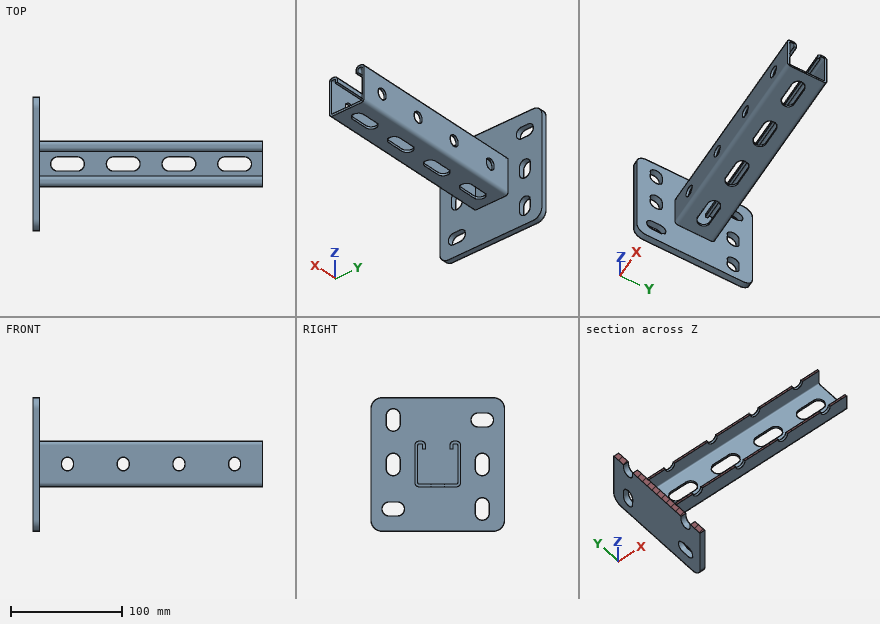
import cadquery as cq

TOTAL_LENGTH = 206.0
PLATE_SIZE = 120.0
PLATE_THICKNESS = 6.0
PLATE_CORNER_RADIUS = 10.0
PLATE_SLOT_LENGTH = 20.0
PLATE_SLOT_WIDTH = 12.4
PLATE_SLOT_OFFSET = 40.0

RAIL_RISE = 0.5
RAIL_SIZE = 41.0
RAIL_LENGTH = TOTAL_LENGTH - PLATE_THICKNESS
WALL = 2.5
BEND_RADIUS = 3.7
INNER_BEND_RADIUS = BEND_RADIUS - WALL
LIP_WIDTH = 9.5
LIP_DEPTH = 7.0

HOLE_COUNT = 4
HOLE_PITCH = RAIL_LENGTH / HOLE_COUNT
BASE_SLOT_LENGTH = 30.0
BASE_SLOT_WIDTH = 12.5
SIDE_SLOT_HEIGHT = 12.0
SIDE_SLOT_WIDTH = 10.5

VERTICAL = 90


def make_plate():
    """Square plate with rounded corners and six fixing slots."""
    plate = (
        cq.Workplane("YZ")
        .rect(PLATE_SIZE, PLATE_SIZE)
        .extrude(PLATE_THICKNESS)
        .edges("|X")
        .fillet(PLATE_CORNER_RADIUS)
    )
    for side in (-1, 1):
        for level in (-1, 0, 1):
            angle = 0 if side == level else VERTICAL
            slot = (
                cq.Workplane("YZ")
                .center(side * PLATE_SLOT_OFFSET, level * PLATE_SLOT_OFFSET)
                .slot2D(PLATE_SLOT_LENGTH, PLATE_SLOT_WIDTH, angle)
                .extrude(PLATE_THICKNESS)
            )
            plate = plate.cut(slot)
    return plate


def make_channel():
    """C section with two lips turned down into the channel, bent at constant wall thickness."""
    half = RAIL_SIZE / 2
    inner = half - WALL
    mouth = half - LIP_WIDTH
    lip_back = mouth + WALL
    lip_end = half - LIP_DEPTH

    right_side = [
        (half, -half),
        (half, half),
        (mouth, half),
        (mouth, lip_end),
        (lip_back, lip_end),
        (lip_back, inner),
        (inner, inner),
        (inner, -inner),
    ]
    left_side = [(-y, z) for y, z in reversed(right_side)]
    channel = (
        cq.Workplane("YZ", origin=(PLATE_THICKNESS, 0, 0))
        .polyline(right_side + left_side)
        .close()
        .extrude(RAIL_LENGTH)
    )

    middle = PLATE_THICKNESS + RAIL_LENGTH / 2
    outer_bends = [(half, -half), (half, half), (mouth, half)]
    inner_bends = [(inner, -inner), (inner, inner), (lip_back, inner)]
    for bends, radius in ((outer_bends, BEND_RADIUS), (inner_bends, INNER_BEND_RADIUS)):
        for y, z in bends:
            for side in (-1, 1):
                bend_edge = cq.NearestToPointSelector((middle, side * y, z))
                channel = channel.edges("|X").edges(bend_edge).fillet(radius)
    return channel


def make_rail():
    """Channel with a row of slots through its base and through both side walls."""
    rail = make_channel()
    for index in range(HOLE_COUNT):
        x = PLATE_THICKNESS + (index + 0.5) * HOLE_PITCH
        base_slot = (
            cq.Workplane("XY", origin=(x, 0, -RAIL_SIZE / 2))
            .slot2D(BASE_SLOT_LENGTH, BASE_SLOT_WIDTH)
            .extrude(WALL)
        )
        side_slots = (
            cq.Workplane("XZ", origin=(x, 0, 0))
            .slot2D(SIDE_SLOT_HEIGHT, SIDE_SLOT_WIDTH, VERTICAL)
            .extrude(RAIL_SIZE / 2, both=True)
        )
        rail = rail.cut(base_slot).cut(side_slots)
    return rail.translate((0, 0, RAIL_RISE))


plate = make_plate()
rail = make_rail()

result = cq.Compound.makeCompound([plate.val(), rail.val()])